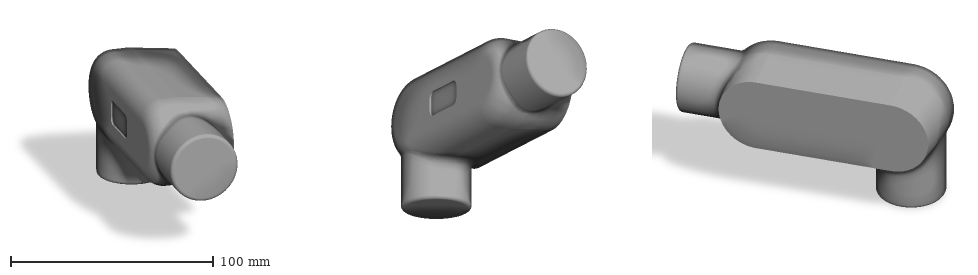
import cadquery as cq
import math

body_radius = 22.3
end_spacing = 70.0
body_depth = 42.1
taper_start = 19.3
back_inset = 3.0
front_edge_radius = 10.3

hub_radius = 34.9 / 2
hub_axis_y = 19.0
down_hub_x = 19.0
overall_length = 135.9
overall_height = 66.2
rim_radius = 1.8
junction_radius = 2.7

label_length = 25.5
label_height = 12.6
label_corner_radius = 3.1
label_depth = 1.0
label_x = 57.2

left_end_x = body_radius
right_end_x = left_end_x + end_spacing
body_middle_x = (left_end_x + right_end_x) / 2

side_hub_start = cq.Vector(right_end_x, hub_axis_y, 0)
side_hub_direction = cq.Vector(1, 0, 0)
side_hub_length = overall_length - right_end_x
down_hub_start = cq.Vector(down_hub_x, hub_axis_y, 0)
down_hub_direction = cq.Vector(0, 0, -1)
down_hub_length = overall_height - body_radius


def facing_back(x, y):
    """Workplane parallel to the front face whose normal points to the back."""
    plane = cq.Plane(origin=(x, y, 0), xDir=(-1, 0, 0), normal=(0, 1, 0))
    return cq.Workplane(plane)


def body_outline(y):
    return facing_back(body_middle_x, y).slot2D(end_spacing + 2 * body_radius, 2 * body_radius)


def make_body():
    taper_length = body_depth - taper_start
    taper_angle = math.degrees(math.atan(back_inset / taper_length))
    front = body_outline(0).extrude(taper_start)
    front = front.faces("<Y").edges().fillet(front_edge_radius)
    back = body_outline(taper_start).extrude(taper_length, taper=taper_angle)
    return front.union(back)


def make_hub(start, direction, length):
    return cq.Workplane(cq.Solid.makeCylinder(hub_radius, length, start, direction))


def junction_edges(part, start, direction, length):
    """Curved edges on the surface of a hub, other than the rim at its far end."""
    tolerance = 0.001
    found = []
    for edge in part.edges("not %LINE").vals():
        from_start = edge.positionAt(0.5) - start
        along = from_start.dot(direction)
        from_axis = (from_start - direction * along).Length
        if abs(from_axis - hub_radius) < tolerance and along < length - tolerance:
            found.append(edge)
    return found


def make_label_recess():
    recess = facing_back(label_x, 0).rect(label_length, label_height).extrude(label_depth)
    return recess.edges("|Y").fillet(label_corner_radius)


side_hub = (side_hub_start, side_hub_direction, side_hub_length)
down_hub = (down_hub_start, down_hub_direction, down_hub_length)

fitting = make_body().union(make_hub(*side_hub)).union(make_hub(*down_hub))

junctions = junction_edges(fitting, *side_hub) + junction_edges(fitting, *down_hub)
fitting = fitting.newObject(junctions).fillet(junction_radius)
fitting = fitting.faces(">X or <Z").edges().fillet(rim_radius)

result = fitting.cut(make_label_recess())